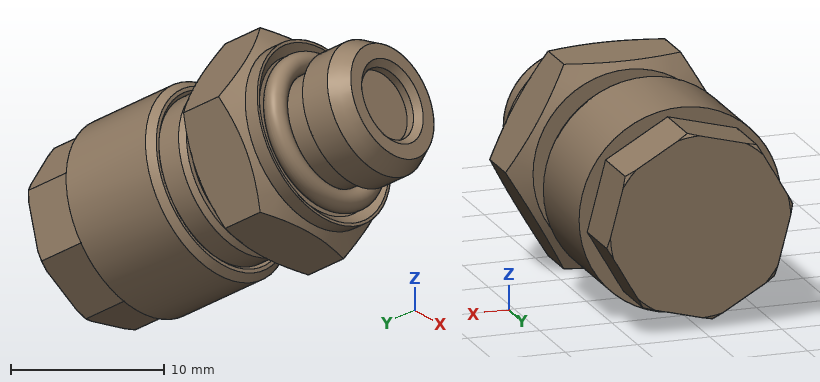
import cadquery as cq
import math

LENGTH = 26.4

TIP_RADIUS = 4.8
NECK_RADIUS = 4.05
TIP_CONE_LENGTH = 1.37
TIP_SHOULDER_START = 3.56
TIP_SHOULDER_END = 4.05
BORE_RADIUS = 2.53
BORE_MOUTH_RADIUS = 2.98
BORE_MOUTH_DEPTH = 0.45
BORE_DEPTH = 1.0

COLLAR_RADIUS = 6.5
COLLAR_START = 6.02
RECESS_MOUTH_RADIUS = 6.28
RECESS_FLOOR_RADIUS = 5.6
RECESS_FLOOR = 6.65
RING_CENTRE_RADIUS = 4.8
RING_SECTION_RADIUS = 0.8
RING_CENTRE = 5.95

HEX_START = 7.08
HEX_END = 11.99
HEX_FLATS = 14.0
HEX_FACE_RADIUS = 6.5
HEX_CHAMFER_ANGLE = 30.0

SHANK_RADIUS = 5.23
STEP_RADIUS = 6.0
STEP_START = 13.05
STEP_CHAMFER = 0.37

NUT_RADIUS = HEX_FLATS / 2
NUT_START = 14.92
NUT_CHAMFER = 0.5
NUT_MOUTH_RADIUS = 6.23
NUT_MOUTH_DEPTH = 0.25
NUT_END = 22.41
OCTAGON_CORNER_RADIUS = 6.5
OCTAGON_TURN = 7.7
OCTAGON_FACE_RADIUS = 6.23
OCTAGON_CHAMFER_LENGTH = 0.15


def turned(outline):
    """Revolve a closed (radius, Y) outline about the Y axis."""
    return cq.Workplane("XY").polyline(outline).close().revolve(360, (0, 0, 0), (0, 1, 0))


def prism(sides, corner_radius, turn, start, end):
    """Regular prism along Y whose first corner is turned from +X towards -Z."""
    body = cq.Workplane("XZ").polygon(sides, 2 * corner_radius).extrude(start - end)
    return body.rotate((0, 0, 0), (0, 1, 0), turn).translate((0, start, 0))


def make_tip():
    return turned([
        (0, 0),
        (NECK_RADIUS, 0),
        (TIP_RADIUS, TIP_CONE_LENGTH),
        (TIP_RADIUS, TIP_SHOULDER_START),
        (NECK_RADIUS, TIP_SHOULDER_END),
        (NECK_RADIUS, HEX_START),
        (0, HEX_START),
    ])


def make_bore():
    return turned([
        (0, 0),
        (BORE_MOUTH_RADIUS, 0),
        (BORE_RADIUS, BORE_MOUTH_DEPTH),
        (BORE_RADIUS, BORE_DEPTH),
        (0, BORE_DEPTH),
    ])


def make_collar():
    return turned([
        (0, RECESS_FLOOR),
        (RECESS_FLOOR_RADIUS, RECESS_FLOOR),
        (RECESS_MOUTH_RADIUS, COLLAR_START),
        (COLLAR_RADIUS, COLLAR_START),
        (COLLAR_RADIUS, HEX_START),
        (0, HEX_START),
    ])


def make_sealing_ring():
    section = cq.Workplane("XY").center(RING_CENTRE_RADIUS, RING_CENTRE).circle(RING_SECTION_RADIUS)
    return section.revolve(360, (-RING_CENTRE_RADIUS, 0, 0), (-RING_CENTRE_RADIUS, 1, 0))


def make_hexagon():
    corner_radius = HEX_FLATS / 2 / math.cos(math.pi / 6)
    chamfer_length = (corner_radius - HEX_FACE_RADIUS) * math.tan(math.radians(HEX_CHAMFER_ANGLE))
    chamfer_envelope = turned([
        (0, HEX_START),
        (HEX_FACE_RADIUS, HEX_START),
        (corner_radius, HEX_START + chamfer_length),
        (corner_radius, HEX_END - chamfer_length),
        (HEX_FACE_RADIUS, HEX_END),
        (0, HEX_END),
    ])
    return prism(6, corner_radius, 0, HEX_START, HEX_END).intersect(chamfer_envelope)


def make_shank():
    return turned([
        (0, HEX_END),
        (SHANK_RADIUS, HEX_END),
        (SHANK_RADIUS, STEP_START),
        (STEP_RADIUS - STEP_CHAMFER, STEP_START),
        (STEP_RADIUS, STEP_START + STEP_CHAMFER),
        (STEP_RADIUS, NUT_START + NUT_MOUTH_DEPTH),
        (0, NUT_START + NUT_MOUTH_DEPTH),
    ])


def make_nut_body():
    return turned([
        (0, NUT_START + NUT_MOUTH_DEPTH),
        (STEP_RADIUS, NUT_START + NUT_MOUTH_DEPTH),
        (NUT_MOUTH_RADIUS, NUT_START),
        (NUT_RADIUS - NUT_CHAMFER, NUT_START),
        (NUT_RADIUS, NUT_START + NUT_CHAMFER),
        (NUT_RADIUS, NUT_END),
        (0, NUT_END),
    ])


def make_octagon():
    chamfer_envelope = turned([
        (0, NUT_END),
        (OCTAGON_CORNER_RADIUS, NUT_END),
        (OCTAGON_CORNER_RADIUS, LENGTH - OCTAGON_CHAMFER_LENGTH),
        (OCTAGON_FACE_RADIUS, LENGTH),
        (0, LENGTH),
    ])
    octagon = prism(8, OCTAGON_CORNER_RADIUS, OCTAGON_TURN, NUT_END, LENGTH)
    return octagon.intersect(chamfer_envelope)


result = (
    make_tip()
    .union(make_collar())
    .union(make_sealing_ring())
    .union(make_hexagon())
    .union(make_shank())
    .union(make_nut_body())
    .union(make_octagon())
    .cut(make_bore())
)